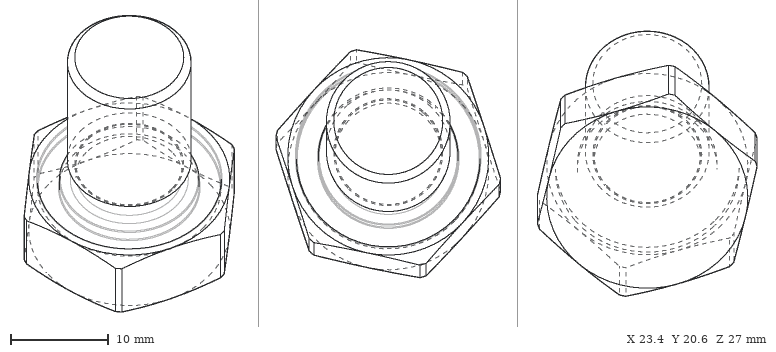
import cadquery as cq
import math

TOTAL_LENGTH = 26.97
SHANK_LENGTH = 19.05
HEAD_HEIGHT = TOTAL_LENGTH - SHANK_LENGTH

ACROSS_FLATS = 20.62
CORNER_DIAMETER = 23.44
CONE_ANGLE = 22.0

SHANK_DIAMETER = 12.7
SHANK_CHAMFER = 0.76

NECK_DIAMETER = 10.92
NECK_LENGTH = 2.26
NECK_FILLET = 0.6

GROOVE_INNER_DIAMETER = 14.35
GROOVE_OUTER_DIAMETER = 18.87
GROOVE_DEPTH = 1.27
GROOVE_EDGE_RADIUS = 0.1


def make_head():
    """Hexagonal prism trimmed by a cylinder with conical ends."""
    across_corners = ACROSS_FLATS / math.cos(math.radians(30))
    hexagon = cq.Workplane("XY").polygon(6, across_corners).extrude(-HEAD_HEIGHT)

    flat_radius = ACROSS_FLATS / 2
    corner_radius = CORNER_DIAMETER / 2
    cone_height = (corner_radius - flat_radius) * math.tan(math.radians(CONE_ANGLE))
    envelope = (
        cq.Workplane("XZ")
        .moveTo(0, -HEAD_HEIGHT)
        .lineTo(flat_radius, -HEAD_HEIGHT)
        .lineTo(corner_radius, cone_height - HEAD_HEIGHT)
        .lineTo(corner_radius, -cone_height)
        .lineTo(flat_radius, 0)
        .lineTo(0, 0)
        .close()
        .revolve()
    )
    return hexagon.intersect(envelope)


def cut_groove(head):
    """Ring groove with small rounds on its rims and at the foot of its walls."""
    inner_radius = GROOVE_INNER_DIAMETER / 2
    outer_radius = GROOVE_OUTER_DIAMETER / 2
    edge = GROOVE_EDGE_RADIUS
    groove = (
        cq.Workplane("XZ")
        .moveTo(inner_radius - edge, 0)
        .radiusArc((inner_radius, -edge), edge)
        .lineTo(inner_radius, edge - GROOVE_DEPTH)
        .radiusArc((inner_radius + edge, -GROOVE_DEPTH), -edge)
        .lineTo(outer_radius - edge, -GROOVE_DEPTH)
        .radiusArc((outer_radius, edge - GROOVE_DEPTH), -edge)
        .lineTo(outer_radius, -edge)
        .radiusArc((outer_radius + edge, 0), edge)
        .close()
        .revolve()
    )
    return head.cut(groove)


def make_shank():
    """Relieved neck with a filleted foot, then the shank chamfered at both ends."""
    neck_radius = NECK_DIAMETER / 2
    shank_radius = SHANK_DIAMETER / 2
    chamfer_radius = shank_radius - SHANK_CHAMFER
    return (
        cq.Workplane("XZ")
        .lineTo(neck_radius + NECK_FILLET, 0)
        .radiusArc((neck_radius, NECK_FILLET), NECK_FILLET)
        .lineTo(neck_radius, NECK_LENGTH)
        .lineTo(chamfer_radius, NECK_LENGTH)
        .lineTo(shank_radius, NECK_LENGTH + SHANK_CHAMFER)
        .lineTo(shank_radius, SHANK_LENGTH - SHANK_CHAMFER)
        .lineTo(chamfer_radius, SHANK_LENGTH)
        .lineTo(0, SHANK_LENGTH)
        .close()
        .revolve()
    )


result = cut_groove(make_head()).union(make_shank())